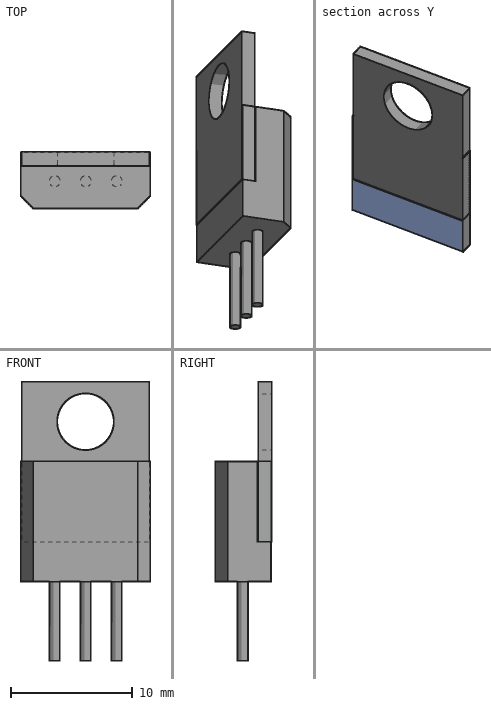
import cadquery as cq

housing_width = 10.67
housing_back = 4.62
housing_bottom = 6.5
housing_top = 16.41
housing_height = housing_top - housing_bottom
corner_chamfer = 1.03

tab_width = 10.53
tab_thickness = 1.15
tab_back = 4.7
tab_front = tab_back - tab_thickness
tab_bottom = 9.8
tab_top = 23.0
recess_gap = 0.07
hole_diameter = 4.65
hole_height = 19.68

lead_diameter = 0.9
lead_pitch = 2.55
lead_count = 3
lead_y = 2.28


def make_plate(front):
    """Plain plate with the tab's outline, from the given front face to the tab's back face."""
    return (
        cq.Workplane("XY")
        .box(tab_width, tab_back - front, tab_top - tab_bottom, centered=(True, False, False))
        .translate((0, front, tab_bottom))
    )


def make_tab():
    """Tab plate with its round mounting hole."""
    hole = (
        cq.Workplane("XZ", origin=(0, tab_back, hole_height))
        .circle(hole_diameter / 2)
        .extrude(tab_thickness)
    )
    return make_plate(tab_front).cut(hole)


def make_housing():
    """Block with chamfered front corners and a recess for the tab."""
    block = (
        cq.Workplane("XY")
        .box(housing_width, housing_back, housing_height, centered=(True, False, False))
        .translate((0, 0, housing_bottom))
        .edges("|Z and <Y")
        .chamfer(corner_chamfer)
    )
    return block.cut(make_plate(tab_front - recess_gap))


def make_lead(x):
    """Round lead running from the housing underside down to z = 0."""
    return (
        cq.Workplane("XY")
        .center(x, lead_y)
        .circle(lead_diameter / 2)
        .extrude(housing_bottom)
    )


housing = make_housing()
tab = make_tab()
leads = []
for index in range(lead_count):
    lead_x = (index - (lead_count - 1) / 2) * lead_pitch
    leads.append(make_lead(lead_x).val())

result = cq.Compound.makeCompound([housing.val(), tab.val(), *leads])